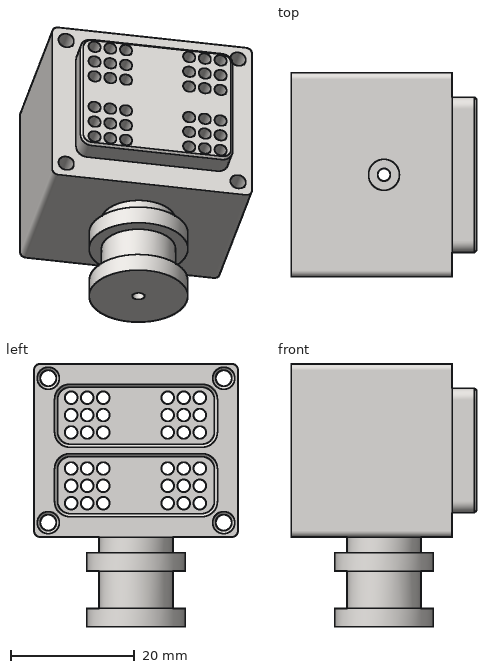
import cadquery as cq

body_length = 26.0
body_width = 33.0
body_height = 28.0
body_edge_radius = 1.0
body_mid_z = body_height / 2

overall_length = 30.0
plug_length = overall_length - body_length
plug_width = 25.1
plug_height = 20.15
plug_corner_radius = 1.83
plug_chamfer = 0.4

overall_height = 42.5
stem_length = overall_height - body_height
stem_x = overall_length / 2
stem_diameter = 12.0
collar_diameter = 16.0
collar_thickness = 2.98
upper_collar_drop = 2.5
collar_drops = (upper_collar_drop, stem_length - collar_thickness)
bore_diameter = 5.0
vent_diameter = 2.0

pocket_width = 25.35
pocket_height = 9.2
pocket_depth = 6.0
pocket_corner_radius = 2.0
pocket_pitch = 11.2
pocket_chamfer = 0.5

pins_per_side = 3
pin_diameter = 2.0
pin_pitch_y = 2.6
pin_pitch_z = 2.8
pin_block_spacing_y = 15.6
pin_block_spacing_z = 11.45
pin_offset_y = 0.1

screw_spacing_y = 28.35
screw_spacing_z = 23.35
screw_diameter = 2.55
screw_chamfer = 0.5


def centred_grid(spacing_y, spacing_z, count):
    """Square count x count grid of (y, z) points centred on the origin."""
    middle = (count - 1) / 2
    return [
        ((column - middle) * spacing_y, (row - middle) * spacing_z)
        for column in range(count)
        for row in range(count)
    ]


def rounded_block(x_start, length, width, height, radius, taper=0):
    """Block along X, centred on the housing, with rounded corners and optionally tapered sides."""
    outline = cq.Sketch().rect(width, height).vertices().fillet(radius)
    face = cq.Workplane("YZ", origin=(x_start, 0, body_mid_z))
    return face.placeSketch(outline).extrude(length, taper=taper)


def make_plug():
    plug = rounded_block(body_length, plug_length, plug_width, plug_height, plug_corner_radius)
    return plug.faces(">X").chamfer(plug_chamfer)


def stem_disc(diameter, drop, length):
    """Disc on the stem axis, starting a given drop below the housing."""
    return cq.Workplane("XY", origin=(stem_x, 0, -drop)).circle(diameter / 2).extrude(-length)


def make_stem():
    stem = stem_disc(stem_diameter, 0, stem_length)
    for drop in collar_drops:
        stem = stem.union(stem_disc(collar_diameter, drop, collar_thickness))
    return stem


def make_bore():
    """Wide bore through the housing, continued by a narrow vent through the stem."""
    bore = stem_disc(bore_diameter, -body_height, body_height)
    vent = stem_disc(vent_diameter, 0, stem_length)
    return bore.union(vent)


def make_pocket(z_offset):
    """Rounded pocket with a chamfered mouth."""
    pocket = rounded_block(0, pocket_depth, pocket_width, pocket_height, pocket_corner_radius)
    mouth = rounded_block(
        0,
        pocket_chamfer,
        pocket_width + 2 * pocket_chamfer,
        pocket_height + 2 * pocket_chamfer,
        pocket_corner_radius + pocket_chamfer,
        taper=45,
    )
    return pocket.union(mouth).translate((0, 0, z_offset))


def make_pin_holes():
    block = centred_grid(pin_pitch_y, pin_pitch_z, pins_per_side)
    holes = [
        (pin_offset_y + block_y + y, block_z + z)
        for block_y, block_z in centred_grid(pin_block_spacing_y, pin_block_spacing_z, 2)
        for y, z in block
    ]
    front = cq.Workplane("YZ", origin=(0, 0, body_mid_z))
    return front.pushPoints(holes).circle(pin_diameter / 2).extrude(overall_length)


def make_screw_holes():
    corners = centred_grid(screw_spacing_y, screw_spacing_z, 2)
    front = cq.Workplane("YZ", origin=(0, 0, body_mid_z)).pushPoints(corners)
    shanks = front.circle(screw_diameter / 2).extrude(body_length)
    mouths = front.circle(screw_diameter / 2 + screw_chamfer).extrude(screw_chamfer, taper=45)
    return shanks.union(mouths)


result = rounded_block(0, body_length, body_width, body_height, body_edge_radius)
result = result.union(make_plug()).union(make_stem())
for pocket_side in (-1, 1):
    result = result.cut(make_pocket(pocket_side * pocket_pitch / 2))
result = result.cut(make_pin_holes()).cut(make_screw_holes()).cut(make_bore())